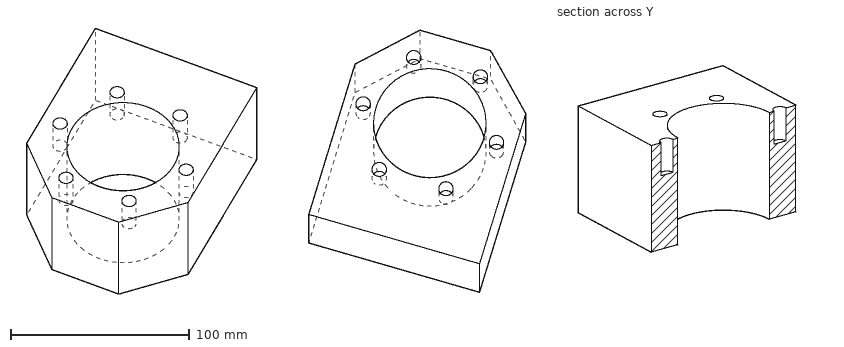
import cadquery as cq
import math

width = 100.0
length = 120
height = 65.0
corner_cut = width / (2 + math.sqrt(2))

bore_diameter = 63.0
bore_from_front = width / 2

hole_count = 6
hole_diameter = 8.0
hole_circle_diameter = 78
hole_depth = 20.0


def make_block():
    """Block centred on X with its front face on Y = 0 and both front corners cut."""
    block = cq.Workplane("XY").box(width, length, height, centered=(True, False, False))
    front_corners = block.faces("<Y").edges("|Z")
    return front_corners.chamfer(corner_cut)


def bore_top():
    """Workplane on the top face, centred on the bore axis."""
    return cq.Workplane("XY", origin=(0, bore_from_front, height))


def make_bore():
    return bore_top().circle(bore_diameter / 2).extrude(-height)


def make_ring_holes():
    """Evenly spaced holes, with the first one on the +X side of the bore."""
    centres = bore_top().polarArray(hole_circle_diameter / 2, 0, 360, hole_count)
    return centres.circle(hole_diameter / 2).extrude(-hole_depth)


result = make_block().cut(make_bore()).cut(make_ring_holes())